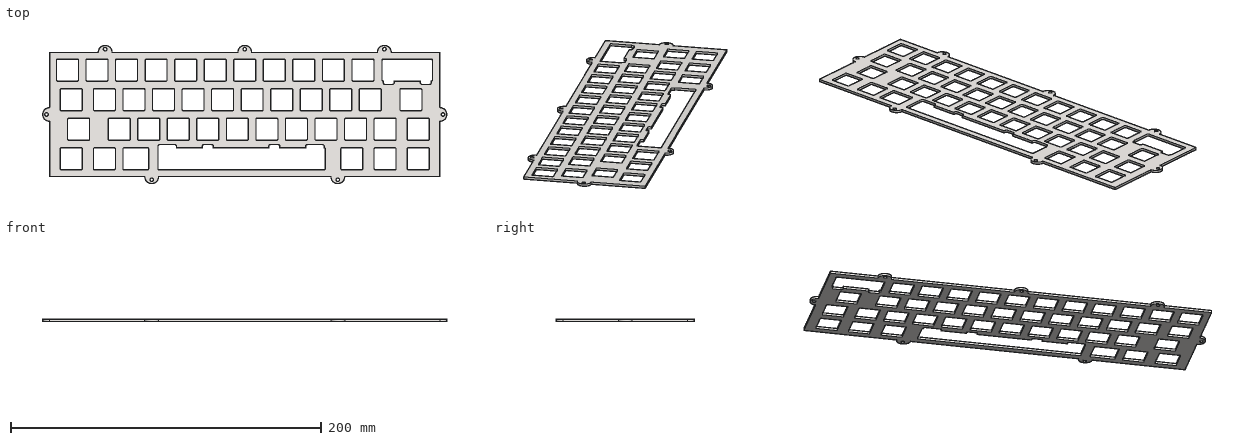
import cadquery as cq

UNIT = 19.05
COLUMNS = 13
ROWS = 4
THICKNESS = 1.6
MARGIN = 2.0

SWITCH_SIZE = 14.0
CORNER_RADIUS = 0.5

TAB_RADIUS = 4.5
TAB_HOLE_DIAMETER = 2.2
TAB_HOLE_OFFSET = 2.0
TOP_TAB_SPACING = 90.0
BOTTOM_TAB_OFFSET = 60.0

STABILIZER_WIDTH = 7.0
STABILIZER_REACH = 9.1
STABILIZER_CORNER_RADIUS = 1.0
STABILIZER_SIDE_REACH = 4.2
STABILIZER_FLUSH_REACH = STABILIZER_WIDTH / 2

BACKSPACE_X = 5.5 * UNIT
BACKSPACE_STABILIZERS = [11.938]
SPACEBAR_X = -0.125 * UNIT
SPACEBAR_STABILIZERS = [1.125 * UNIT, 2.375 * UNIT, 50.0]

SWITCH_ROWS = [
    [-6 + i for i in range(11)],
    [-5.875] + [-4.75 + i for i in range(10)] + [5.625],
    [-5.625] + [-4.25 + i for i in range(10)] + [5.875],
    [-5.875, -4.75, -3.75, -3.625, 3.625, 4.75, 5.875],
]

FIELD_LENGTH = COLUMNS * UNIT
FIELD_WIDTH = ROWS * UNIT
PLATE_LENGTH = FIELD_LENGTH + 2 * MARGIN
PLATE_WIDTH = FIELD_WIDTH + 2 * MARGIN


def row_y(row):
    """Y of a key row's centre line, counting rows from the top."""
    return ((ROWS - 1) / 2 - row) * UNIT


def block(length, width, x, y):
    """Full-thickness block centred on (x, y)."""
    return cq.Workplane("XY").center(x, y).rect(length, width).extrude(THICKNESS)


def make_tab(x, y, angle):
    """Round screw tab on the plate edge at (x, y); at angle 0 it points along +Y."""
    disc = cq.Workplane("XY").circle(TAB_RADIUS).extrude(THICKNESS)
    hole = (
        cq.Workplane("XY")
        .center(0, TAB_HOLE_OFFSET)
        .circle(TAB_HOLE_DIAMETER / 2)
        .extrude(THICKNESS)
    )
    return disc.cut(hole).rotate((0, 0, 0), (0, 0, 1), angle).translate((x, y, 0))


def key_opening(length, x, y):
    """Opening one switch wide in Y, with rounded corners."""
    return block(length, SWITCH_SIZE, x, y).edges("|Z").fillet(CORNER_RADIUS)


def stabilizer_slot(x, y, direction):
    """Slot from the row centre line to its rounded end, toward +Y or -Y."""
    slot = block(STABILIZER_WIDTH, STABILIZER_REACH, x, y + direction * STABILIZER_REACH / 2)
    end_edges = "|Z and >Y" if direction > 0 else "|Z and <Y"
    return slot.edges(end_edges).fillet(STABILIZER_CORNER_RADIUS)


def wide_key_opening(x, y, offsets, direction, left_reach, right_reach):
    """Long opening for a wide key, with a stabilizer slot at each offset either side.

    The reaches run from the outermost stabilizer centres to the ends of the opening.
    """
    left_end = x - max(offsets) - left_reach
    right_end = x + max(offsets) + right_reach
    opening = key_opening(right_end - left_end, (left_end + right_end) / 2, y)
    for offset in offsets:
        for side in (-1, 1):
            opening = opening.union(stabilizer_slot(x + side * offset, y, direction))
    return opening


plate = block(PLATE_LENGTH, PLATE_WIDTH, 0, 0)

for row, centers in enumerate(SWITCH_ROWS):
    for center in centers:
        plate = plate.cut(key_opening(SWITCH_SIZE, center * UNIT, row_y(row)))

backspace = wide_key_opening(
    BACKSPACE_X, row_y(0), BACKSPACE_STABILIZERS, -1, STABILIZER_SIDE_REACH, STABILIZER_SIDE_REACH
)
spacebar = wide_key_opening(
    SPACEBAR_X, row_y(ROWS - 1), SPACEBAR_STABILIZERS, 1, STABILIZER_FLUSH_REACH, STABILIZER_SIDE_REACH
)
plate = plate.cut(backspace).cut(spacebar)

for tab_x in (-TOP_TAB_SPACING, 0, TOP_TAB_SPACING):
    plate = plate.union(make_tab(tab_x, PLATE_WIDTH / 2, 0))
for tab_x in (-BOTTOM_TAB_OFFSET, BOTTOM_TAB_OFFSET):
    plate = plate.union(make_tab(tab_x, -PLATE_WIDTH / 2, 180))
plate = plate.union(make_tab(-PLATE_LENGTH / 2, 0, 90))
plate = plate.union(make_tab(PLATE_LENGTH / 2, 0, -90))

result = plate